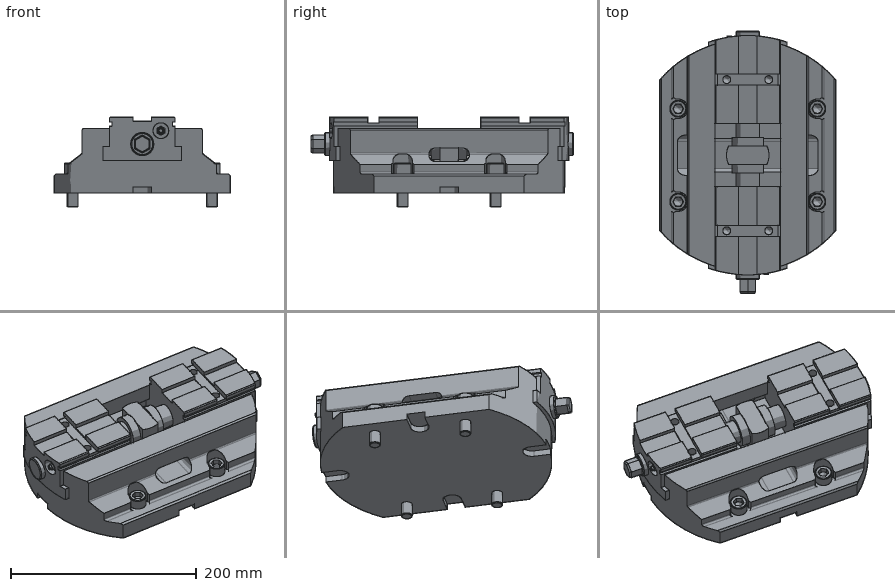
import cadquery as cq
import math

BASE_WIDTH = 190.0
BASE_RADIUS = 124.8
BODY_TOP = 70.0
BODY_HALF_WIDTH = 65.0
BODY_TOP_CHAMFER = 1.7
SLOPE_TOP = 42.5
STEP_HALF_WIDTH = 79.8
STEP_TOP = 31.0
LEDGE_TOP = 20.7
LEDGE_CHAMFER = 2.0
STEP_FILLET = 2.3
WALL_FILLET = 2.0

GUIDE_HALF_WIDTH = 35.5
GUIDE_FOOT_HALF_WIDTH = 42.5
GUIDE_FLOOR = 35.0
GUIDE_SHOULDER = 50.0
JAW_RADIUS = 129.0
JAW_TOP = 82.0
JAW_INNER_END = 34.0
JAW_CHAMFER = 1.0
JAW_GROOVE_DEPTH = 2.5
JAW_GROOVE_BOTTOM = 72.2
JAW_GROOVE_TOP = 76.7
KEY_SLOT_WIDTH = 19.8
KEY_SLOT_DEPTH = 4.5
CROSS_SLOT_WIDTH = 12.0
CROSS_SLOT_DEPTH = 6.2
CROSS_SLOT_Y = 81.5
JAW_HOLE_DIAMETER = 8.5
JAW_HOLE_DEPTH = 11.3
JAW_HOLE_X = 22.5
DRILL_TIP_ANGLE = 118.0

ADJUST_BORE_DIAMETER = 17.0
ADJUST_BORE_X = 20.0
ADJUST_BORE_Z = 67.4
ADJUST_BORE_FLOOR = 120.5
ADJUST_HEXAGON_ACROSS_FLATS = 8.5
ADJUST_HEXAGON_END = 123.5
ADJUST_COLLAR_DIAMETER = 6.8
ADJUST_COLLAR_END = 126.2
ADJUST_TIP_DIAMETER = 4.8
ADJUST_TIP_FACE_DIAMETER = 4.0
ADJUST_TIP_END = 128.8

SPINDLE_Z = 53.0
SPINDLE_DIAMETER = 25.0
SPINDLE_END = 134.1
SPINDLE_CHAMFER = 1.0
FLANGE_DIAMETER = 34.0
FLANGE_LENGTH = 38.5
DRIVE_ACROSS_FLATS = 17.0
DRIVE_END = 148.9
DRIVE_CHAMFER_WIDTH = 1.0
DRIVE_CHAMFER_LENGTH = 2.0
BLOCK_DIAMETER = 45.8
BLOCK_THICKNESS = 19.8
BLOCK_TOP = 67.5

WINDOW_LENGTH = 43.5
WINDOW_BOTTOM = 34.2
WINDOW_TOP = 48.7

SCREW_X = 75.0
SCREW_Y = 50.0
POCKET_WIDTH = 21.0
POCKET_MOUTH_CHAMFER = 1.7
HEAD_DIAMETER = 18.0
HEAD_TOP = 32.3
HEAD_CHAMFER = 0.8
SHANK_DIAMETER = 12.0
SHANK_BOTTOM = -15.0
SHANK_CHAMFER = 0.8
SOCKET_ACROSS_FLATS = 10.0
SOCKET_DEPTH = 5.7

BOTTOM_SLOT_WIDTH = 19.8
BOTTOM_SLOT_HEIGHT = 6.8
BOTTOM_SLOT_LENGTH = 28.3


def box(x_range, y_range, z_range):
    """A box between the given pairs of coordinates."""
    size = [high - low for low, high in (x_range, y_range, z_range)]
    corner = (x_range[0], y_range[0], z_range[0])
    return cq.Workplane("XY").box(*size, centered=False).translate(corner)


def mirrored_outline(right_half):
    """A closed XZ outline from its +X half, which is listed from bottom to top."""
    left_half = [(-x, z) for x, z in reversed(right_half)]
    return cq.Workplane("XZ").polyline(right_half + left_half).close()


def rod_along_y(x, z, diameter, y_start, y_end):
    """A cylinder along +Y between two Y positions."""
    plane = cq.Workplane("XZ", origin=(x, y_end, z))
    return plane.circle(diameter / 2).extrude(y_end - y_start)


def hexagon_corner_diameter(across_flats):
    return across_flats / math.cos(math.pi / 6)


def upright_hexagon(x, z, across_flats, y_start, y_end):
    """A hexagonal bar along +Y between two Y positions, with corners up and down."""
    plane = cq.Workplane("XZ", origin=(x, y_end, z)).transformed(rotate=(0, 0, 90))
    return plane.polygon(6, hexagon_corner_diameter(across_flats)).extrude(y_end - y_start)


def drill_tip_height(diameter):
    return diameter / 2 / math.tan(math.radians(DRILL_TIP_ANGLE / 2))


def pointed_pin(diameter, length):
    """A pin hanging below the origin that ends in a drill point; its length excludes the point."""
    radius = diameter / 2
    outline = [(0, 0), (radius, 0), (radius, -length), (0, -length - drill_tip_height(diameter))]
    return cq.Workplane("XZ").polyline(outline).close().revolve(360, (0, 0, 0), (0, 1, 0))


def make_body():
    half_width = BASE_WIDTH / 2
    outline = [
        (half_width, 0),
        (half_width, LEDGE_TOP - LEDGE_CHAMFER),
        (half_width - LEDGE_CHAMFER, LEDGE_TOP),
        (STEP_HALF_WIDTH, LEDGE_TOP),
        (STEP_HALF_WIDTH, STEP_TOP),
        (BODY_HALF_WIDTH, SLOPE_TOP),
        (BODY_HALF_WIDTH, BODY_TOP - BODY_TOP_CHAMFER),
        (BODY_HALF_WIDTH - BODY_TOP_CHAMFER, BODY_TOP),
    ]
    body = mirrored_outline(outline).extrude(BASE_RADIUS, both=True)
    inner_corners = (
        (STEP_HALF_WIDTH, LEDGE_TOP, STEP_FILLET),
        (BODY_HALF_WIDTH, SLOPE_TOP, WALL_FILLET),
    )
    for x, z, radius in inner_corners:
        for side in (-1, 1):
            corner = cq.selectors.NearestToPointSelector((side * x, 0, z))
            body = body.edges(corner).fillet(radius)
    return body.intersect(cq.Workplane("XY").circle(BASE_RADIUS).extrude(BODY_TOP))


def guide_outline(top_points):
    """The T-shaped guide section, closed above by the given points of its +X half."""
    foot = [
        (GUIDE_FOOT_HALF_WIDTH, GUIDE_FLOOR),
        (GUIDE_FOOT_HALF_WIDTH, GUIDE_SHOULDER),
        (GUIDE_HALF_WIDTH, GUIDE_SHOULDER),
    ]
    return mirrored_outline(foot + top_points)


def cut_guide(body):
    guide = guide_outline([(GUIDE_HALF_WIDTH, BODY_TOP)]).extrude(BASE_RADIUS, both=True)
    return body.cut(guide)


def cut_window(body):
    height = WINDOW_TOP - WINDOW_BOTTOM
    plane = cq.Workplane("YZ").center(0, WINDOW_BOTTOM + height / 2)
    return body.cut(plane.slot2D(WINDOW_LENGTH, height).extrude(BASE_WIDTH / 2, both=True))


def cut_bottom_slots(body):
    for angle, edge_distance in ((0, BASE_WIDTH / 2), (90, BASE_RADIUS)):
        for turn in (0, 180):
            round_center = edge_distance - BOTTOM_SLOT_LENGTH + BOTTOM_SLOT_WIDTH / 2
            slot = box(
                (round_center, edge_distance),
                (-BOTTOM_SLOT_WIDTH / 2, BOTTOM_SLOT_WIDTH / 2),
                (0, BOTTOM_SLOT_HEIGHT),
            )
            plane = cq.Workplane("XY").center(round_center, 0)
            slot = slot.union(plane.circle(BOTTOM_SLOT_WIDTH / 2).extrude(BOTTOM_SLOT_HEIGHT))
            body = body.cut(slot.rotate((0, 0, 0), (0, 0, 1), angle + turn))
    return body


def make_jaw():
    """The jaw on the -Y side."""
    groove_half_width = GUIDE_HALF_WIDTH - JAW_GROOVE_DEPTH
    key_half_width = KEY_SLOT_WIDTH / 2
    key_floor = JAW_TOP - KEY_SLOT_DEPTH
    top = [
        (GUIDE_HALF_WIDTH, JAW_GROOVE_BOTTOM),
        (groove_half_width, JAW_GROOVE_BOTTOM),
        (groove_half_width, JAW_GROOVE_TOP),
        (GUIDE_HALF_WIDTH, JAW_GROOVE_TOP),
        (GUIDE_HALF_WIDTH, JAW_TOP - JAW_CHAMFER),
        (GUIDE_HALF_WIDTH - JAW_CHAMFER, JAW_TOP),
        (key_half_width, JAW_TOP),
        (key_half_width, key_floor),
    ]
    jaw = guide_outline(top).extrude(JAW_RADIUS)
    jaw = jaw.intersect(cq.Workplane("XY").circle(JAW_RADIUS).extrude(JAW_TOP))
    jaw = jaw.cut(
        box(
            (-GUIDE_FOOT_HALF_WIDTH, GUIDE_FOOT_HALF_WIDTH),
            (-JAW_INNER_END, 0),
            (GUIDE_FLOOR, JAW_TOP),
        )
    )
    return fit_adjusting_screw(cut_cross_slot(jaw))


def cut_cross_slot(jaw):
    """Cut the slot across the jaw and the two pointed holes in its floor."""
    slot_floor = JAW_TOP - CROSS_SLOT_DEPTH
    half_slot = CROSS_SLOT_WIDTH / 2
    jaw = jaw.cut(
        box(
            (-GUIDE_HALF_WIDTH, GUIDE_HALF_WIDTH),
            (-CROSS_SLOT_Y - half_slot, -CROSS_SLOT_Y + half_slot),
            (slot_floor, JAW_TOP),
        )
    )
    for x in (-JAW_HOLE_X, JAW_HOLE_X):
        hole = pointed_pin(JAW_HOLE_DIAMETER, JAW_HOLE_DEPTH)
        jaw = jaw.cut(hole.translate((x, -CROSS_SLOT_Y, slot_floor)))
    return jaw


def fit_adjusting_screw(jaw):
    """Cut the bore in the outer end and stand the stepped adjusting screw on its floor."""
    x, z = ADJUST_BORE_X, ADJUST_BORE_Z
    bore = rod_along_y(x, z, ADJUST_BORE_DIAMETER, -JAW_RADIUS, -ADJUST_BORE_FLOOR)
    collar = rod_along_y(x, z, ADJUST_COLLAR_DIAMETER, -ADJUST_COLLAR_END, -ADJUST_BORE_FLOOR)
    tip = rod_along_y(x, z, ADJUST_TIP_DIAMETER, -ADJUST_TIP_END, -ADJUST_BORE_FLOOR)
    tip = tip.faces("<Y").chamfer((ADJUST_TIP_DIAMETER - ADJUST_TIP_FACE_DIAMETER) / 2)
    across_flats = ADJUST_HEXAGON_ACROSS_FLATS
    hexagon = upright_hexagon(x, z, across_flats, -ADJUST_HEXAGON_END, -ADJUST_BORE_FLOOR)
    return jaw.cut(bore).union(hexagon).union(collar).union(tip)


def make_spindle():
    spindle = rod_along_y(0, SPINDLE_Z, SPINDLE_DIAMETER, -SPINDLE_END, SPINDLE_END)
    spindle = spindle.edges("%CIRCLE").chamfer(SPINDLE_CHAMFER)
    for y_start in (-FLANGE_LENGTH / 2, BLOCK_THICKNESS / 2):
        y_end = y_start + (FLANGE_LENGTH - BLOCK_THICKNESS) / 2
        spindle = spindle.union(rod_along_y(0, SPINDLE_Z, FLANGE_DIAMETER, y_start, y_end))
    return spindle.union(make_drive_end()).union(make_block())


def make_drive_end():
    """The hexagon on the -Y end of the spindle, with its end edges chamfered."""
    hexagon = upright_hexagon(0, SPINDLE_Z, DRIVE_ACROSS_FLATS, -DRIVE_END, -SPINDLE_END)
    return hexagon.faces("<Y").chamfer(DRIVE_CHAMFER_LENGTH, DRIVE_CHAMFER_WIDTH)


def make_block():
    """The bearing block: an upright disc with two flat sides."""
    radius = BLOCK_DIAMETER / 2
    half_thickness = BLOCK_THICKNESS / 2
    disc = cq.Workplane("XY", origin=(0, 0, WINDOW_BOTTOM)).circle(radius)
    disc = disc.extrude(BLOCK_TOP - WINDOW_BOTTOM)
    slab = box((-radius, radius), (-half_thickness, half_thickness), (WINDOW_BOTTOM, BLOCK_TOP))
    return disc.intersect(slab)


def make_screw():
    """A socket head screw on the Z axis, with its head resting on the ledge level."""
    head = cq.Workplane("XY", origin=(0, 0, LEDGE_TOP)).circle(HEAD_DIAMETER / 2)
    head = head.extrude(HEAD_TOP - LEDGE_TOP).faces(">Z").chamfer(HEAD_CHAMFER)
    plane = cq.Workplane("XY", origin=(0, 0, HEAD_TOP))
    corner_diameter = hexagon_corner_diameter(SOCKET_ACROSS_FLATS)
    socket = plane.polygon(6, corner_diameter).extrude(-SOCKET_DEPTH)
    drilled = pointed_pin(SOCKET_ACROSS_FLATS, SOCKET_DEPTH).translate((0, 0, HEAD_TOP))
    socket = socket.union(drilled)
    shank = cq.Workplane("XY", origin=(0, 0, SHANK_BOTTOM)).circle(SHANK_DIAMETER / 2)
    shank = shank.extrude(LEDGE_TOP - SHANK_BOTTOM).faces("<Z").chamfer(SHANK_CHAMFER)
    return head.cut(socket).union(shank)


def make_pocket():
    """The U-shaped screw pocket on the +X side, at Y = 0, opening outward with a chamfered mouth."""
    half_width = POCKET_WIDTH / 2
    mouth_half_width = half_width + POCKET_MOUTH_CHAMFER
    outer_x = STEP_HALF_WIDTH + STEP_FILLET
    upper_side = [
        (SCREW_X, half_width),
        (STEP_HALF_WIDTH - POCKET_MOUTH_CHAMFER, half_width),
        (STEP_HALF_WIDTH, mouth_half_width),
        (outer_x, half_width),
    ]
    lower_side = [(x, -y) for x, y in reversed(upper_side)]
    outline = cq.Workplane("XY", origin=(0, 0, LEDGE_TOP)).polyline(upper_side + lower_side)
    outline = outline.threePointArc((SCREW_X - half_width, 0), upper_side[0]).close()
    return outline.extrude(SLOPE_TOP - LEDGE_TOP)


def add_screws(body):
    pocket = make_pocket()
    screw = make_screw()
    for turn in (0, 180):
        for y in (-SCREW_Y, SCREW_Y):
            placed_pocket = pocket.translate((0, y, 0)).rotate((0, 0, 0), (0, 0, 1), turn)
            placed_screw = screw.translate((SCREW_X, y, 0)).rotate((0, 0, 0), (0, 0, 1), turn)
            body = body.cut(placed_pocket).union(placed_screw)
    return body


base = cut_bottom_slots(cut_window(cut_guide(make_body())))
jaw = make_jaw()
result = add_screws(base)
result = result.union(jaw).union(jaw.rotate((0, 0, 0), (0, 0, 1), 180))
result = result.union(make_spindle())